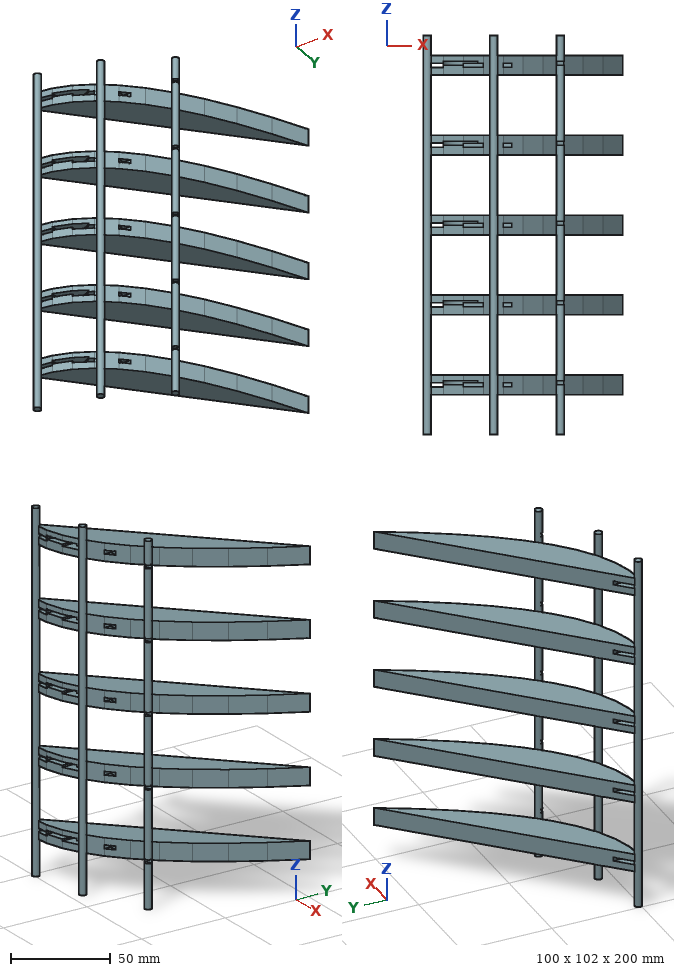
import cadquery as cq
import math

shelf_span = 100.0

rod_length = 200.0
rod_diameter = 4.0
rod_radius = rod_diameter / 2
first_rod_x = rod_radius
rod_count = 3
rod_pitch = shelf_span / rod_count
rod_curve_divisor = 200.0

facet_count = 10
facet_width = shelf_span / facet_count
shelf_thickness = 10.0
shelf_count = 5
shelf_pitch = rod_length / shelf_count
first_shelf_z = shelf_pitch / 2
shelf_levels = [first_shelf_z + index * shelf_pitch for index in range(shelf_count)]

slot_count = 3
slot_pitch = 2 * facet_width
slot_width = facet_width
slot_height = 2.0
first_slot_back_y = 10.0
slot_back_step = 5.0
slot_overshoot = 2.0
slot_rise = (shelf_thickness - slot_height) / 2

cut_height = 2.0
cut_rise = shelf_thickness / 2
groove_radius = 10.0
groove_x = 20.0
groove_y = 1.0


def shelf_curve_y(x):
    return x**2 / shelf_span


def rod_center(index):
    x = first_rod_x + index * rod_pitch
    return x, x**2 / rod_curve_divisor


def make_rod(index):
    return cq.Workplane("XY").center(*rod_center(index)).circle(rod_radius).extrude(rod_length)


def make_slot(index):
    slot_x = index * slot_pitch
    slot_back_y = first_slot_back_y + index * slot_back_step
    slot_depth = slot_back_y + slot_overshoot
    slot = cq.Workplane("XY").box(slot_width, slot_depth, slot_height, centered=False)
    return slot.translate((slot_x, -slot_overshoot, slot_rise))


def make_groove():
    groove = cq.Workplane("XY", origin=(groove_x, groove_y, cut_rise))
    return groove.circle(groove_radius).extrude(cut_height)


def make_shelf():
    facet_xs = [step * facet_width for step in range(facet_count + 1)]
    outline = [(x, shelf_curve_y(x)) for x in facet_xs]
    shelf = cq.Workplane("XY").polyline(outline).close().extrude(shelf_thickness)
    for index in range(slot_count):
        shelf = shelf.cut(make_slot(index))
    return shelf.cut(make_groove())


def make_shelf_rack():
    shelf = make_shelf()
    shelves = [shelf.val().translate(cq.Vector(0, 0, level)) for level in shelf_levels]
    return cq.Workplane(make_rod(0).val().fuse(*shelves))


def make_notched_rod():
    middle_x, middle_y = rod_center(1)
    last_x, last_y = rod_center(2)
    flat_angle = math.degrees(math.atan2(last_y - middle_y, last_x - middle_x))
    notch = (
        cq.Workplane("XY")
        .box(2 * rod_diameter, rod_diameter, cut_height, centered=(True, False, False))
        .translate((0, -rod_diameter, 0))
        .rotate((0, 0, 0), (0, 0, 1), flat_angle)
    )
    rod = make_rod(2)
    for level in shelf_levels:
        rod = rod.cut(notch.translate((last_x, last_y, level + cut_rise)))
    return rod


shelf_rack = make_shelf_rack()
plain_rod = make_rod(1)
notched_rod = make_notched_rod()

result = cq.Compound.makeCompound([shelf_rack.val(), plain_rod.val(), notched_rod.val()])